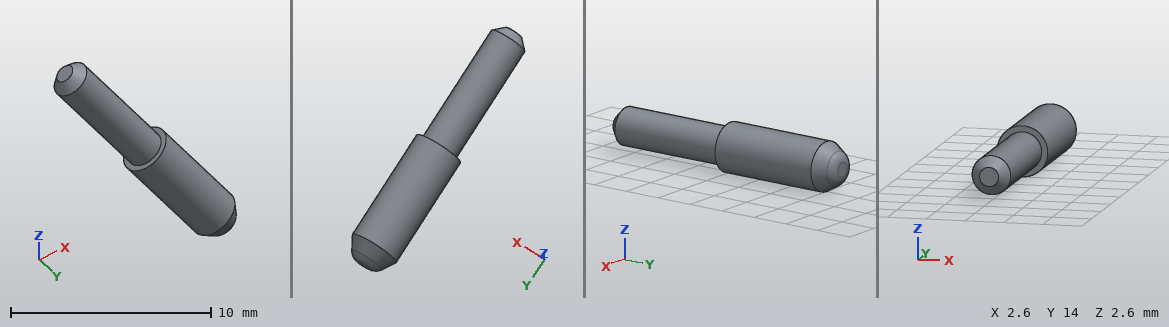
import cadquery as cq
import math

total_length = 14.0
sleeve_length = total_length / 2
pin_length = total_length - sleeve_length

sleeve_radius = 1.3
cone_length = 1.0
cone_half_angle = math.radians(30)
nose_radius = 0.6

pin_radius = 1.0
tip_chamfer = 0.5


def make_sleeve():
    """Revolve the thick body, its nose arc tangent to both the cone and the end face."""
    arc_center_y = sleeve_length - nose_radius
    cone_start_y = sleeve_length - cone_length
    tangent_y = arc_center_y + nose_radius * math.sin(cone_half_angle)
    tangent_z = sleeve_radius - (tangent_y - cone_start_y) * math.tan(cone_half_angle)
    end_face_radius = tangent_z - nose_radius * math.cos(cone_half_angle)

    middle_angle = (cone_half_angle + math.pi / 2) / 2
    arc_middle = (
        end_face_radius + nose_radius * math.cos(middle_angle),
        arc_center_y + nose_radius * math.sin(middle_angle),
    )
    half_section = cq.Plane(origin=(0, 0, 0), xDir=(0, 0, 1), normal=(-1, 0, 0))
    return (
        cq.Workplane(half_section)
        .moveTo(0, 0)
        .lineTo(sleeve_radius, 0)
        .lineTo(sleeve_radius, cone_start_y)
        .lineTo(tangent_z, tangent_y)
        .threePointArc(arc_middle, (end_face_radius, sleeve_length))
        .lineTo(0, sleeve_length)
        .close()
        .revolve(360, (0, 0), (0, 1))
    )


def make_pin():
    """Extrude the thin body from the shoulder toward -Y and chamfer its free end."""
    return (
        cq.Workplane("XZ")
        .circle(pin_radius)
        .extrude(pin_length)
        .faces("<Y")
        .chamfer(tip_chamfer)
    )


sleeve = make_sleeve()
pin = make_pin()

result = cq.Compound.makeCompound([sleeve.val(), pin.val()])